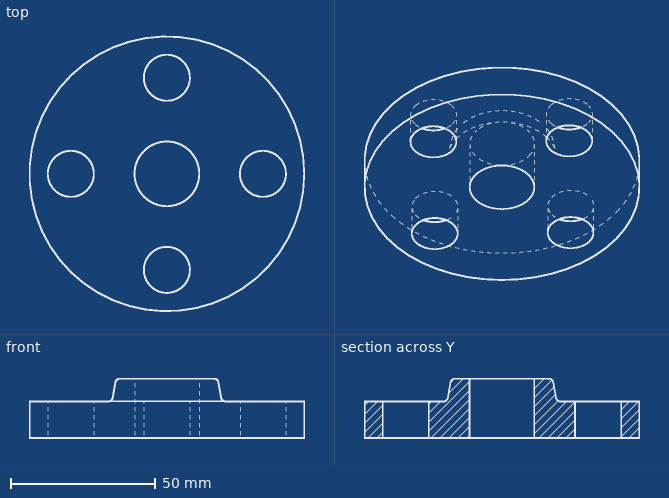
import cadquery as cq

flange_diameter = 95.25
flange_thickness = 12.7
overall_height = 20.57

bolt_hole_diameter = 15.875
bolt_circle_diameter = 66.55
bolt_count = 4

bore_diameter = 22.35
hub_base_diameter = 38.1
hub_taper_degrees = 10.0
hub_root_fillet = 1.5
hub_rim_fillet = 1.5

hub_height = overall_height - flange_thickness


def make_flange():
    """Flat round plate resting on Z = 0."""
    return cq.Workplane("XY").circle(flange_diameter / 2).extrude(flange_thickness)


def add_hub(body):
    """Tapered hub with a rounded rim and a fillet where it meets the plate."""
    hub = (
        cq.Workplane("XY")
        .workplane(offset=flange_thickness)
        .circle(hub_base_diameter / 2)
        .extrude(hub_height, taper=hub_taper_degrees)
        .faces(">Z")
        .edges()
        .fillet(hub_rim_fillet)
    )
    plate_face_point = (bolt_circle_diameter / 2, 0, flange_thickness)
    plate_face = cq.selectors.NearestToPointSelector(plate_face_point)
    smallest_circle = cq.selectors.RadiusNthSelector(0)
    return body.union(hub).faces(plate_face).edges(smallest_circle).fillet(hub_root_fillet)


def cut_bore(body):
    """Straight bore through hub and plate."""
    bore = cq.Workplane("XY").circle(bore_diameter / 2).extrude(overall_height)
    return body.cut(bore)


def cut_bolt_holes(body):
    """Through holes evenly spaced on the bolt circle, the first on +X."""
    holes = (
        cq.Workplane("XY")
        .polarArray(bolt_circle_diameter / 2, 0, 360, bolt_count)
        .circle(bolt_hole_diameter / 2)
        .extrude(flange_thickness)
    )
    return body.cut(holes)


result = cut_bolt_holes(cut_bore(add_hub(make_flange())))